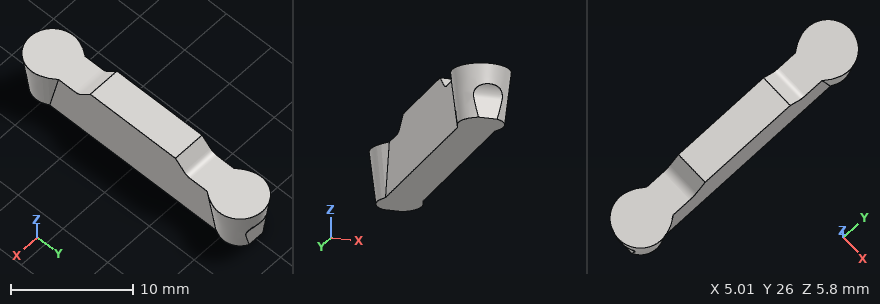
import cadquery as cq
import math

length = 25.97
height = 5.8
head_height = 4.52

head_radius = 2.505
draft_angle = 7.0
tangent_angle = 24.0
flare_length = 0.52
neck_distance = 2.18
head_center = length / 2 - head_radius

bar_width = 3.22
block_length = 9.5
ramp_angle = 45.0
ramp_fillet = 1.0

relief_depth = 0.73
relief_flat_height = 1.71
relief_top = 2.83
relief_top_depth = 0.18


def make_bar():
    """Side profile of the bar, extruded across its width."""
    block_end = block_length / 2
    ramp_run = (height - head_height) / math.tan(math.radians(ramp_angle))
    ramp_foot = block_end + ramp_run
    bar = (
        cq.Workplane("YZ")
        .moveTo(-head_center, 0)
        .lineTo(head_center, 0)
        .lineTo(head_center, head_height)
        .lineTo(ramp_foot, head_height)
        .lineTo(block_end, height)
        .lineTo(-block_end, height)
        .lineTo(-ramp_foot, head_height)
        .lineTo(-head_center, head_height)
        .close()
        .extrude(bar_width / 2, both=True)
    )
    for foot_y in (-ramp_foot, ramp_foot):
        foot = cq.selectors.NearestToPointSelector((0, foot_y, head_height))
        bar = bar.edges(foot).fillet(ramp_fillet)
    return bar


def make_head():
    """Drafted head at the -Y end, narrowing to a point inside the bar."""
    angle = math.radians(tangent_angle)
    arc_x = head_radius * math.cos(angle)
    arc_y = head_radius * math.sin(angle)
    flare_x = arc_x - flare_length * math.sin(angle)
    flare_y = arc_y + flare_length * math.cos(angle)
    neck_x = bar_width / 2
    neck_slope = (neck_distance - flare_y) / (flare_x - neck_x)
    point_y = neck_distance + neck_x * neck_slope

    outline = (
        cq.Workplane("XY", origin=(0, -head_center, head_height))
        .moveTo(arc_x, arc_y)
        .lineTo(flare_x, flare_y)
        .lineTo(0, point_y)
        .lineTo(-flare_x, flare_y)
        .lineTo(-arc_x, arc_y)
        .threePointArc((0, -head_radius), (arc_x, arc_y))
        .close()
    )
    return outline.extrude(-head_height, taper=draft_angle).cut(make_relief())


def make_relief():
    """Flat face at the foot of the head, curving outward to the tip above it."""
    tip = -length / 2
    flat_y = tip + relief_depth
    rise = relief_top - relief_flat_height
    run = relief_depth - relief_top_depth
    radius = (rise**2 + run**2) / (2 * run)
    half_sweep = math.asin(rise / radius) / 2
    middle = (
        flat_y - radius * (1 - math.cos(half_sweep)),
        relief_flat_height + radius * math.sin(half_sweep),
    )
    return (
        cq.Workplane("YZ")
        .moveTo(tip, 0)
        .lineTo(flat_y, 0)
        .lineTo(flat_y, relief_flat_height)
        .threePointArc(middle, (tip + relief_top_depth, relief_top))
        .lineTo(tip, relief_top)
        .close()
        .extrude(head_radius, both=True)
    )


head = make_head()
result = make_bar().union(head).union(head.mirror("XZ"))